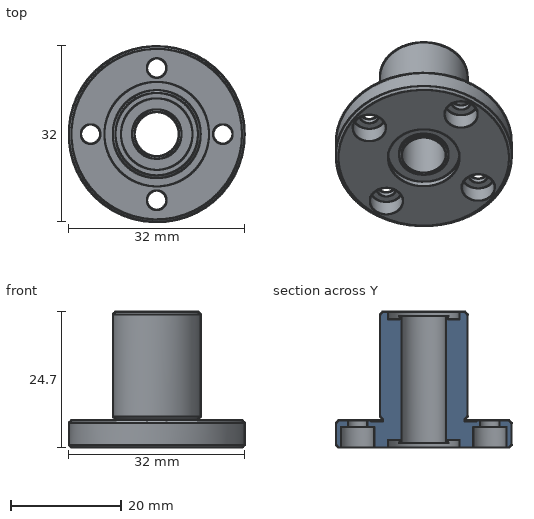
import cadquery as cq

flange_diameter = 32.0
flange_thickness = 5.0
edge_chamfer = 0.5
relief_diameter = 19.0
relief_depth = 0.2

total_height = 24.7
sleeve_diameter = flange_diameter / 2
neck_diameter = sleeve_diameter - 2 * edge_chamfer
neck_gap = 0.15

bore_diameter = 8.0
recess_diameter = 13.0
recess_depth = 1.35
ring_diameter = 9.0
ring_height = 0.55

hole_count = 4
hole_diameter = 3.5
hole_circle_diameter = 24.0
counterbore_diameter = 6.0
counterbore_depth = 3.7


def cylinder(diameter, bottom, height):
    return cq.Workplane("XY").workplane(offset=bottom).circle(diameter / 2).extrude(height)


def end_recess(floor, outward):
    """Annular cut from the recess floor to the end face, leaving the ring; outward is +1 or -1."""
    recess = cylinder(recess_diameter, floor, outward * recess_depth)
    ring = cylinder(ring_diameter, floor, outward * ring_height)
    return recess.cut(ring)


def mounting_holes(diameter, depth):
    """Round cuts rising from the underside, evenly spaced on the hole circle."""
    return (
        cq.Workplane("XY")
        .polarArray(hole_circle_diameter / 2, 0, 360, hole_count)
        .circle(diameter / 2)
        .extrude(depth)
    )


flange = cylinder(flange_diameter, 0, flange_thickness).edges().chamfer(edge_chamfer)
relief = cylinder(relief_diameter, flange_thickness - relief_depth, relief_depth)
flange = flange.cut(relief)

sleeve_bottom = flange_thickness + neck_gap
neck = cylinder(neck_diameter, 0, sleeve_bottom)
sleeve = cylinder(sleeve_diameter, sleeve_bottom, total_height - sleeve_bottom)
sleeve = sleeve.edges().chamfer(edge_chamfer)
body = flange.union(neck).union(sleeve)

body = body.cut(cylinder(bore_diameter, 0, total_height))
body = body.cut(end_recess(total_height - recess_depth, 1))
body = body.cut(end_recess(recess_depth, -1))

body = body.cut(mounting_holes(hole_diameter, flange_thickness))
result = body.cut(mounting_holes(counterbore_diameter, counterbore_depth))